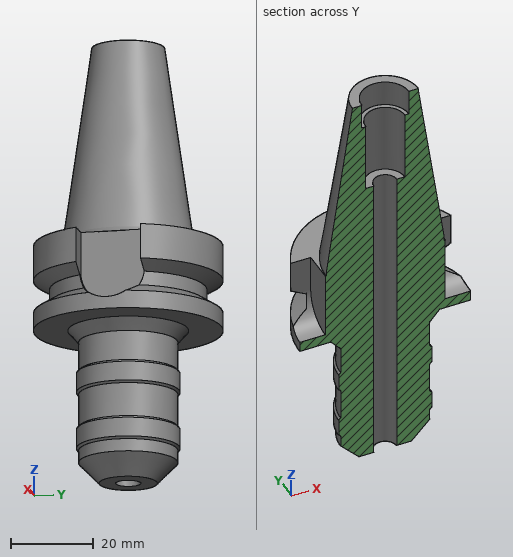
import cadquery as cq

total_height = 108.4
gauge_height = 60.0
flange_top = 59.1
upper_rim_bottom = 50.5
groove_top = 48.2
groove_bottom = 44.8
lower_rim_top = 42.4
flange_bottom = 38.0
shank_top = 35.1
nose_height = 5.1

taper_ratio = 7 / 24
gauge_radius = 15.9
taper_end_radius = gauge_radius - (total_height - gauge_height) * taper_ratio / 2
flange_radius = 23.0
groove_radius = 19.1
flange_cone_radius = 14.6
shank_radius = 12.0
nose_radius = 7.0

band_radius = 12.6
band_height = 5.7
band_bottoms = (8.1, 22.1)
band_bevel = band_radius - shank_radius

slot_width = 16.0
slot_bottom = 41.0
slot_face_distance = 16.2

through_radius = 3.0
thread_radius = 5.2
thread_depth = 26.0
mouth_radius = 6.3
mouth_depth = 6.9


def turned_body():
    """Taper, grooved flange and shank revolved about Z."""
    outline = [
        (0, 0),
        (nose_radius, 0),
        (shank_radius, nose_height),
        (shank_radius, shank_top),
        (flange_cone_radius, flange_bottom),
        (flange_radius, flange_bottom),
        (flange_radius, lower_rim_top),
        (groove_radius, groove_bottom),
        (groove_radius, groove_top),
        (flange_radius, upper_rim_bottom),
        (flange_radius, flange_top),
        (gauge_radius, flange_top),
        (gauge_radius, gauge_height),
        (taper_end_radius, total_height),
        (0, total_height),
    ]
    return cq.Workplane("XZ").polyline(outline).close().revolve(360, (0, 0), (0, 1))


def shank_band(bottom):
    """Raised band with both rims bevelled down to the shank."""
    band = cq.Workplane("XY").workplane(offset=bottom).circle(band_radius).extrude(band_height)
    return band.edges("%CIRCLE").chamfer(band_bevel)


def drive_slot(side):
    """Round-bottomed slot open to the flange top and to the outside; side is +1 or -1 along X."""
    slot_radius = slot_width / 2
    arc_center_height = slot_bottom + slot_radius
    profile = (
        cq.Workplane("YZ", origin=(side * slot_face_distance, 0, 0))
        .moveTo(-slot_radius, flange_top)
        .lineTo(-slot_radius, arc_center_height)
        .threePointArc((0, slot_bottom), (slot_radius, arc_center_height))
        .lineTo(slot_radius, flange_top)
        .close()
    )
    return profile.extrude(side * flange_radius)


def bore(radius, depth):
    """Round bore sunk from the small end of the taper."""
    return cq.Workplane("XY").workplane(offset=total_height).circle(radius).extrude(-depth)


result = turned_body()
for band_bottom in band_bottoms:
    result = result.union(shank_band(band_bottom))
for slot_side in (-1, 1):
    result = result.cut(drive_slot(slot_side))
result = result.cut(bore(mouth_radius, mouth_depth))
result = result.cut(bore(thread_radius, thread_depth))
result = result.cut(bore(through_radius, total_height))